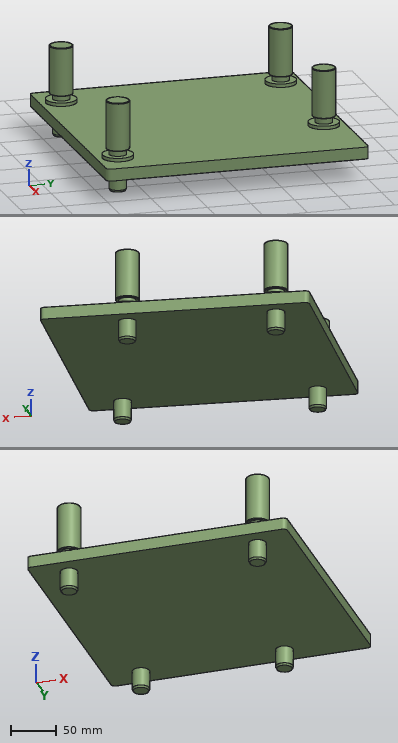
import cadquery as cq

plate_side = 301.2
plate_thickness = 14.0
corner_radius = 5.0

washer_diameter = 35.0
washer_thickness = 4.0

shank_diameter = 19.5
head_diameter = 26.5
head_height = 55.7
shank_length = 48.0
head_chamfer = 1.0
tip_chamfer_width = 1.2
tip_chamfer_height = 2.5

pin_x = 109.5
back_right_pin_x = 57.2
pin_y = 126.2

lowest_head = 10.0
middle_head = 10.2
highest_head = 10.8

pin_places = [
    (-pin_x, -pin_y, lowest_head),
    (pin_x, -pin_y, middle_head),
    (-pin_x, pin_y, middle_head),
    (back_right_pin_x, pin_y, highest_head),
]


def make_plate():
    """Rounded square plate with a through hole for each pin."""
    holes = [(x, y) for x, y, head_z in pin_places]
    return (
        cq.Workplane("XY")
        .rect(plate_side, plate_side)
        .extrude(-plate_thickness)
        .edges("|Z")
        .fillet(corner_radius)
        .faces(">Z")
        .workplane(origin=(0, 0, 0))
        .pushPoints(holes)
        .hole(shank_diameter)
    )


def make_washer(x, y):
    """Flat ring fitting closely around the pin shank."""
    return (
        cq.Workplane("XY", origin=(x, y, 0))
        .circle(washer_diameter / 2)
        .circle(shank_diameter / 2)
        .extrude(washer_thickness)
    )


def make_pin(x, y, head_z):
    """Chamfered cylindrical head on a narrower shank with a bevelled tip."""
    head = (
        cq.Workplane("XY", origin=(x, y, head_z))
        .circle(head_diameter / 2)
        .extrude(head_height)
        .edges()
        .chamfer(head_chamfer)
    )
    shank = (
        cq.Workplane("XY", origin=(x, y, head_z))
        .circle(shank_diameter / 2)
        .extrude(-shank_length)
        .faces("<Z")
        .chamfer(tip_chamfer_height, tip_chamfer_width)
    )
    return head.union(shank)


plate = make_plate()
washers = [make_washer(x, y) for x, y, head_z in pin_places]
pins = [make_pin(x, y, head_z) for x, y, head_z in pin_places]

result = cq.Compound.makeCompound(
    [plate.val(), *[washer.val() for washer in washers], *[pin.val() for pin in pins]]
)